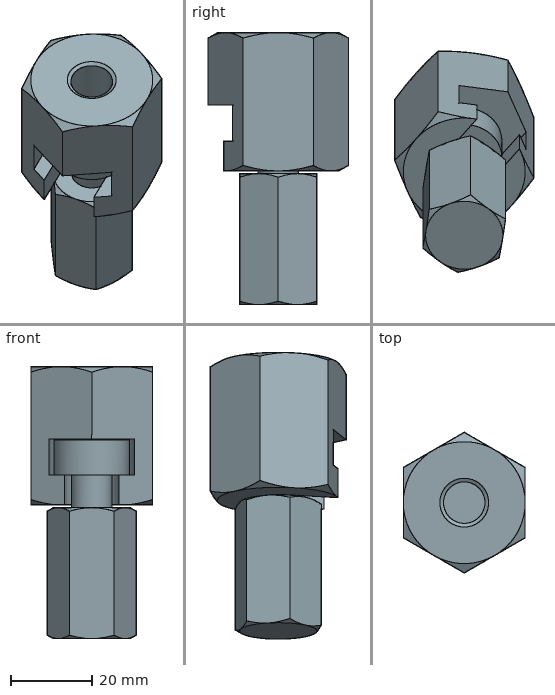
import cadquery as cq
import math

SOCKET_FLATS = 30.0
SOCKET_HEIGHT = 34.0
BORE_DIAMETER = 10.2
BORE_MOUTH_DIAMETER = 12.0
HEAD_SLOT_WIDTH = 21.0
HEAD_SLOT_HEIGHT = 8.9
NECK_SLOT_WIDTH = 13.4
LIP_HEIGHT = 7.3

STUD_FLATS = 19.0
STUD_HEX_HEIGHT = 32.2
NECK_DIAMETER = 10.0
HEAD_DIAMETER = 18.5
HEAD_TOP_CLEARANCE = 0.25
HEX_GAP = 0.7

CHAMFER_ANGLE = 30.0

HEX_SIDES = 6
SOCKET_TURN = 180 / HEX_SIDES
STUD_TURN = 0

SOCKET_BOTTOM = STUD_HEX_HEIGHT + HEX_GAP
SOCKET_TOP = SOCKET_BOTTOM + SOCKET_HEIGHT
HEAD_BOTTOM = SOCKET_BOTTOM + LIP_HEIGHT
SLOT_TOP = HEAD_BOTTOM + HEAD_SLOT_HEIGHT
HEAD_HEIGHT = HEAD_SLOT_HEIGHT - HEAD_TOP_CLEARANCE


def chamfered_hexagon(flats, height, turn):
    """Hexagonal bar on z = 0 with its corners turned conically at both ends."""
    flat_radius = flats / 2
    corner_radius = flat_radius / math.cos(math.pi / HEX_SIDES)
    drop = (corner_radius - flat_radius) * math.tan(math.radians(CHAMFER_ANGLE))
    bar = (
        cq.Workplane("XY")
        .polygon(HEX_SIDES, 2 * corner_radius)
        .extrude(height)
        .rotate((0, 0, 0), (0, 0, 1), turn)
    )
    envelope = (
        cq.Workplane("XZ")
        .moveTo(0, 0)
        .lineTo(flat_radius, 0)
        .lineTo(corner_radius, drop)
        .lineTo(corner_radius, height - drop)
        .lineTo(flat_radius, height)
        .lineTo(0, height)
        .close()
        .revolve(360, (0, 0), (0, 1))
    )
    return bar.intersect(envelope)


def round_ended_slot(width, bottom, top):
    """Slot cutter with a half-round end about the Z axis, running out to -Y."""
    radius = width / 2
    return (
        cq.Workplane("XY", origin=(0, 0, bottom))
        .moveTo(-radius, -SOCKET_FLATS)
        .lineTo(radius, -SOCKET_FLATS)
        .lineTo(radius, 0)
        .threePointArc((0, radius), (-radius, 0))
        .close()
        .extrude(top - bottom)
    )


def cylinder(diameter, bottom, height):
    return cq.Workplane("XY", origin=(0, 0, bottom)).circle(diameter / 2).extrude(height)


def countersunk_bore():
    """Bore from the T-slot to the top face, with a conical mouth."""
    mouth_depth = (BORE_MOUTH_DIAMETER - BORE_DIAMETER) / 2 * math.tan(math.radians(CHAMFER_ANGLE))
    bore = cylinder(BORE_DIAMETER, SLOT_TOP, SOCKET_TOP - SLOT_TOP)
    mouth = (
        cq.Workplane("XY", origin=(0, 0, SOCKET_TOP - mouth_depth))
        .circle(BORE_DIAMETER / 2)
        .workplane(offset=mouth_depth)
        .circle(BORE_MOUTH_DIAMETER / 2)
        .loft()
    )
    return bore.union(mouth)


def make_socket():
    hexagon = chamfered_hexagon(SOCKET_FLATS, SOCKET_HEIGHT, SOCKET_TURN).translate((0, 0, SOCKET_BOTTOM))
    head_slot = round_ended_slot(HEAD_SLOT_WIDTH, HEAD_BOTTOM, SLOT_TOP)
    neck_slot = round_ended_slot(NECK_SLOT_WIDTH, SOCKET_BOTTOM, HEAD_BOTTOM)
    return hexagon.cut(head_slot).cut(neck_slot).cut(countersunk_bore())


def make_stud():
    hexagon = chamfered_hexagon(STUD_FLATS, STUD_HEX_HEIGHT, STUD_TURN)
    neck = cylinder(NECK_DIAMETER, STUD_HEX_HEIGHT, HEAD_BOTTOM - STUD_HEX_HEIGHT)
    head = cylinder(HEAD_DIAMETER, HEAD_BOTTOM, HEAD_HEIGHT)
    return hexagon.union(neck).union(head)


socket = make_socket()
stud = make_stud()

result = cq.Compound.makeCompound([socket.val(), stud.val()])